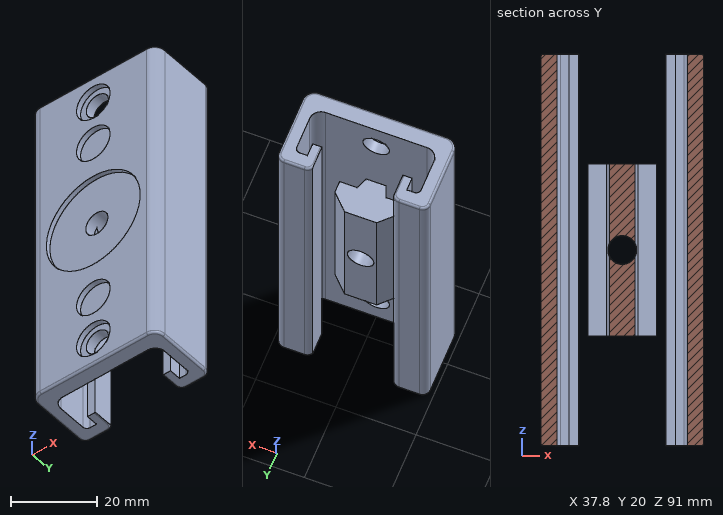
import cadquery as cq

width = 37.83
depth = 20.0
length = 91.0

channel_width = 31.0
floor_thickness = 4.4
flange_thickness = 3.5
opening_width = 20.2
opening_trim = 0.3
lip_thickness = 2.3
lip_height = 6.8
back_corner_radius = 3.0
front_corner_radius = 2.0
channel_floor_radius = 2.8
channel_top_radius = 1.2
end_edge_radius = 0.6

block_length = 40.0
block_width = 16.0
block_top_width = 8.0
block_height = 9.9
block_bevel = (block_width - block_top_width) / 2
block_underside = 2.9
neck_top_width = 7.2
neck_base_width = 5.0

hole_diameter = 6.6
recess_diameter = 10.0
recess_depth = 1.5
seat_diameter = 28.0
seat_depth = 1.3
mounting_hole_z = 37.5
blind_recess_z = 24.5

back_y = -depth / 2
front_y = depth / 2
floor_y = back_y + floor_thickness
ceiling_y = front_y - flange_thickness


def prism_box(x_size, y_from, y_to, x_centre=0.0):
    """Full-length box between two Y levels."""
    box = cq.Workplane("XY").box(x_size, y_to - y_from, length)
    return box.translate((x_centre, (y_from + y_to) / 2, 0))


def make_outer_body():
    """Bar with rounded ends and front opening; the trim leaves the lip faces flat after rounding."""
    body = prism_box(width, back_y, front_y)
    body = body.edges("|Z and <Y").fillet(back_corner_radius)
    rough_width = opening_width - 2 * opening_trim
    opening = prism_box(rough_width, front_y - lip_height, front_y)
    body = body.cut(opening)
    body = body.edges("|Z and >Y").fillet(front_corner_radius)
    body = body.faces("<Z or >Z").fillet(end_edge_radius)
    return body.cut(prism_box(opening_width, floor_y, front_y))


def make_channel():
    """Inner cavity, including the slots behind the two lips."""
    cavity = prism_box(channel_width, floor_y, ceiling_y)
    cavity = cavity.edges("|Z and <Y").fillet(channel_floor_radius)
    cavity = cavity.edges("|Z and >Y").fillet(channel_top_radius)
    lip_centre = (opening_width + lip_thickness) / 2
    for side in (-1, 1):
        lip = prism_box(lip_thickness, front_y - lip_height, front_y, side * lip_centre)
        cavity = cavity.cut(lip)
    return cavity


def make_block():
    """Bevelled guide block on a tapered neck."""
    half_outline = [
        (neck_base_width / 2, 0),
        (neck_top_width / 2, block_underside),
        (block_width / 2, block_underside),
        (block_width / 2, block_height - block_bevel),
        (block_top_width / 2, block_height),
    ]
    mirrored = [(-x, y) for x, y in reversed(half_outline)]
    outline = [(x, floor_y + y) for x, y in half_outline + mirrored]
    return cq.Workplane("XY").polyline(outline).close().extrude(block_length / 2, both=True)


def back_bore(diameter, bore_depth, z):
    """Cylinder entering the back face along +Y."""
    return cq.Workplane("XZ", origin=(0, back_y, z)).circle(diameter / 2).extrude(-bore_depth)


result = make_outer_body().cut(make_channel()).union(make_block())

result = result.cut(back_bore(seat_diameter, seat_depth, 0))
result = result.cut(back_bore(hole_diameter, depth, 0))

for end in (-1, 1):
    result = result.cut(back_bore(recess_diameter, recess_depth, end * mounting_hole_z))
    result = result.cut(back_bore(hole_diameter, depth, end * mounting_hole_z))
    result = result.cut(back_bore(recess_diameter, recess_depth, end * blind_recess_z))